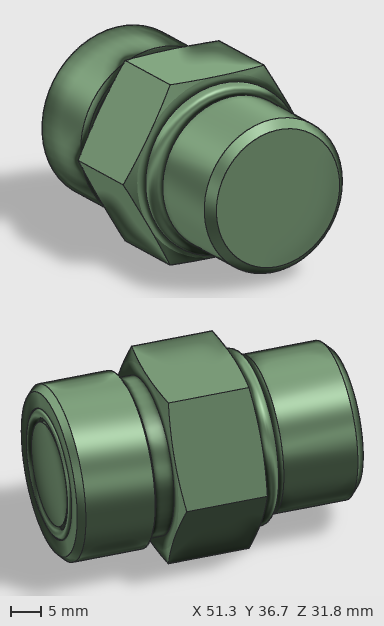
import cadquery as cq
import math

total_length = 51.25
face_x = 0.35
face_thread_end = 14.1
hex_start = 17.5
hex_end = 32.75
port_thread_start = 35.85

face_thread_diameter = 30.15
face_diameter = 27.9
face_chamfer = (face_thread_diameter - face_diameter) / 2
neck_diameter = 27.15
runout_diameter = 28.2
runout_length = 0.45

hex_across_flats = 31.75
hex_across_corners = hex_across_flats / math.cos(math.radians(30))
hex_face_diameter = 31.8
hex_chamfer_length = 0.55

port_thread_diameter = 26.95
port_groove_diameter = 24.05
port_chamfer = (port_thread_diameter - port_groove_diameter) / 2
port_lead_length = 0.95

port_seal_section = 2.95
port_seal_center_x = (hex_end + port_thread_start) / 2
port_seal_center_radius = (port_groove_diameter + port_seal_section) / 2

face_groove_outer_diameter = 22.3
face_groove_inner_diameter = 17.7
face_seal_section = 1.75
face_seal_center_x = face_seal_section / 2
face_seal_center_radius = (face_groove_outer_diameter - face_seal_section) / 2
face_groove_depth = face_seal_section - face_x


def revolve_about_x(profile):
    """Turn a closed profile, drawn as (x, radius), fully around the X axis."""
    return profile.revolve(360, (0, 0, 0), (1, 0, 0))


def make_turned_body():
    """Both threads, the neck, the seal groove and a core through the hexagon."""
    face_radius = face_diameter / 2
    face_thread_radius = face_thread_diameter / 2
    runout_radius = runout_diameter / 2
    neck_radius = neck_diameter / 2
    groove_radius = port_groove_diameter / 2
    port_radius = port_thread_diameter / 2
    profile = (
        cq.Workplane("XY")
        .moveTo(face_x, 0)
        .lineTo(face_x, face_radius)
        .lineTo(face_x + face_chamfer, face_thread_radius)
        .lineTo(face_thread_end - runout_length, face_thread_radius)
        .lineTo(face_thread_end, runout_radius)
        .lineTo(face_thread_end, neck_radius)
        .lineTo(hex_start, neck_radius)
        .lineTo(hex_start, groove_radius)
        .lineTo(port_thread_start, groove_radius)
        .lineTo(port_thread_start + port_lead_length, port_radius)
        .lineTo(total_length - port_chamfer, port_radius)
        .lineTo(total_length, groove_radius)
        .lineTo(total_length, 0)
        .close()
    )
    return revolve_about_x(profile)


def make_hexagon():
    """Hexagon with corners on +Y and -Y, its corners turned off conically at both ends."""
    prism = (
        cq.Workplane("YZ")
        .workplane(offset=hex_start)
        .polygon(6, hex_across_corners)
        .extrude(hex_end - hex_start)
    )
    face_radius = hex_face_diameter / 2
    corner_radius = hex_across_corners / 2
    envelope = revolve_about_x(
        cq.Workplane("XY")
        .moveTo(hex_start, 0)
        .lineTo(hex_start, face_radius)
        .lineTo(hex_start + hex_chamfer_length, corner_radius)
        .lineTo(hex_end - hex_chamfer_length, corner_radius)
        .lineTo(hex_end, face_radius)
        .lineTo(hex_end, 0)
        .close()
    )
    return prism.intersect(envelope)


def make_face_groove():
    """Ring-shaped cutter for the seal groove in the sealing face."""
    return (
        cq.Workplane("YZ")
        .workplane(offset=face_x)
        .circle(face_groove_outer_diameter / 2)
        .circle(face_groove_inner_diameter / 2)
        .extrude(face_groove_depth)
    )


def make_fitting():
    return make_turned_body().union(make_hexagon()).cut(make_face_groove())


def make_seal(center_x, center_radius, section_diameter):
    """O-ring of round section around the X axis."""
    section = cq.Workplane("XY").center(center_x, center_radius).circle(section_diameter / 2)
    return section.revolve(360, (0, -center_radius, 0), (1, -center_radius, 0))


fitting = make_fitting()
port_seal = make_seal(port_seal_center_x, port_seal_center_radius, port_seal_section)
face_seal = make_seal(face_seal_center_x, face_seal_center_radius, face_seal_section)

result = cq.Compound.makeCompound([fitting.val(), port_seal.val(), face_seal.val()])